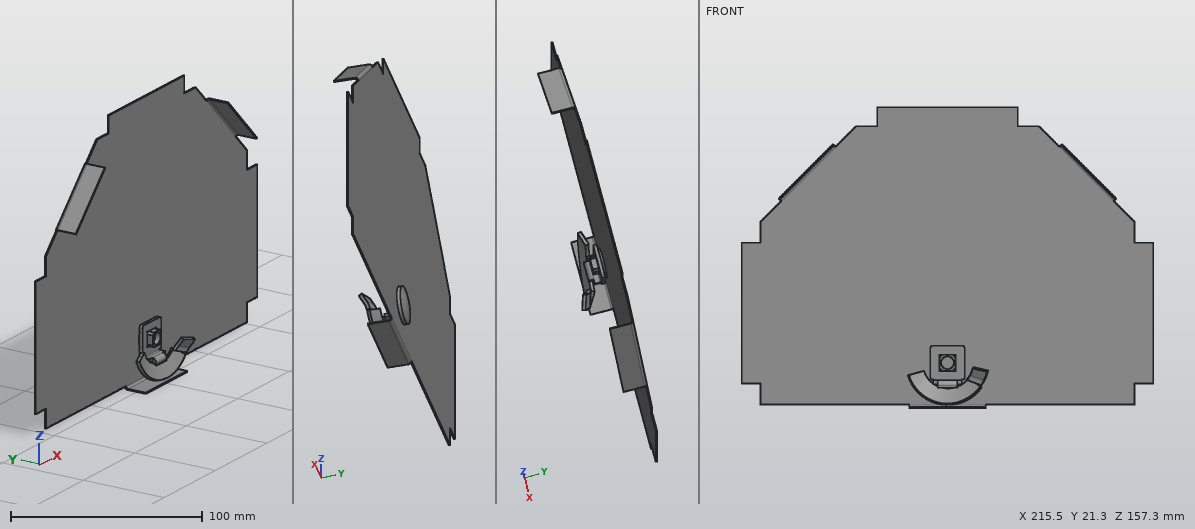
import cadquery as cq
import math

sheet = 0.75
bend_inner = 1.0
bend_outer = bend_inner + sheet
panel_width = 215.5
side = 95.7
corner_run = 50.0
tab_width = 73.7
tab_depth = (panel_width - side - 2 * corner_run) / 2
flange_length = 40.0
flange_reach = 12.3

panel_half = side / 2 + corner_run
panel_bottom = bend_outer
corner_z = panel_bottom + side
panel_top = corner_z + corner_run
lock_z = 23.7

head_radius = 10.1
head_rim = 2.0
head_dome = 1.62
neck_radius = 7.87
neck_reach = 1.3
boss_size = 8.2
boss_chamfer = 1.3
boss_end = 6.5
boss_bore = 6.7

cam_sheet = 2.0
cam_size = 18.0
cam_corner = 1.3
cam_hole = 8.6
cam_front = neck_reach + cam_sheet
lip_width = 15.0
lip_bottom = 12.5
lip_end = 6.7
lip_bend_outer = 2.5
lip_bend_inner = lip_bend_outer - cam_sheet
pad_width = 10.3
pad_end = 9.3
pad_bottom = 10.5
pad_round = pad_end - lip_end

tongue_inner = 13.4
tongue_outer = 21.3
tongue_cone = 20.6
tongue_depth = 10.8
tongue_lean_x = 6.8
tongue_lean_z = 3.0
tongue_start = -73
tongue_end = 54
tip_start = 45
tip_end = 77
tip_outer = 21.1
tip_depth = 10.3
tip_slope_x = 0.42
tip_slope_z = 0.42
tip_bend_x = 14.9
tip_bend_z = -7.5
tip_bend_rise = -0.78
tip_bend_radius = 5.8
tip_bend_angle = 30

diagonal = math.sqrt(0.5)


def tab(x, z, width, height):
    return cq.Workplane("XY").box(width, sheet, height).translate((x, sheet / 2, z))


def flange(x, z, outward_x, outward_z):
    """Bent flange centred on the panel edge at (x, z), turned toward -Y."""
    outward = cq.Vector(outward_x, 0, outward_z)
    along_edge = outward.cross(cq.Vector(0, 1, 0))
    profile = (
        cq.Workplane(cq.Plane((x, 0, z), outward, along_edge))
        .moveTo(0, sheet)
        .threePointArc(
            (bend_outer * diagonal, bend_outer * diagonal - bend_inner),
            (bend_outer, -bend_inner),
        )
        .lineTo(bend_outer, -flange_reach)
        .lineTo(bend_inner, -flange_reach)
        .lineTo(bend_inner, -bend_inner)
        .threePointArc((bend_inner * diagonal, bend_inner * diagonal - bend_inner), (0, 0))
        .close()
    )
    return profile.extrude(flange_length / 2, both=True)


def make_panel():
    outline = [
        (-panel_half, panel_bottom),
        (panel_half, panel_bottom),
        (panel_half, corner_z),
        (side / 2, panel_top),
        (-side / 2, panel_top),
        (-panel_half, corner_z),
    ]
    panel = cq.Workplane("XZ").polyline(outline).close().extrude(-sheet)
    panel = panel.union(tab(0, panel_top, tab_width, 2 * tab_depth))
    panel = panel.union(flange(0, panel_bottom, 0, -1))
    for sign in (-1, 1):
        side_middle = panel_bottom + side / 2
        panel = panel.union(tab(sign * panel_half, side_middle, 2 * tab_depth, tab_width))
        slope_x = sign * (panel_half - corner_run / 2)
        panel = panel.union(flange(slope_x, corner_z + corner_run / 2, sign, 1))
    neck_hole = cq.Workplane("XZ").center(0, lock_z).circle(neck_radius).extrude(-sheet)
    return panel.cut(neck_hole)


def make_lock():
    rim_y = sheet + head_rim
    dome_radius = (head_radius**2 + head_dome**2) / (2 * head_dome)
    dome_mid_r = head_radius / 2
    dome_mid_y = rim_y + head_dome - dome_radius + math.sqrt(dome_radius**2 - dome_mid_r**2)
    body = (
        cq.Workplane("XY")
        .moveTo(0, -neck_reach)
        .lineTo(neck_radius, -neck_reach)
        .lineTo(neck_radius, sheet)
        .lineTo(head_radius, sheet)
        .lineTo(head_radius, rim_y)
        .threePointArc((dome_mid_r, dome_mid_y), (0, rim_y + head_dome))
        .close()
        .revolve(360, (0, 0), (0, 1))
    )
    boss = cq.Workplane("XZ").rect(boss_size, boss_size).extrude(boss_end).edges("|Y").chamfer(boss_chamfer)
    bore = cq.Workplane("XZ", (0, -cam_front, 0)).circle(boss_bore / 2).extrude(boss_end)
    return body.union(boss).cut(bore).translate((0, 0, lock_z))


def cone_sector(start, end):
    """Conical sheet band about the Y axis; angles run from straight down toward +X."""
    slope = math.radians(tongue_cone)
    rise = (tongue_outer - tongue_inner) * math.tan(slope)
    back_r = cam_sheet * math.sin(slope)
    back_y = cam_sheet * math.cos(slope)
    section = [
        (tongue_outer, -tongue_depth),
        (tongue_inner, rise - tongue_depth),
        (tongue_inner + back_r, rise - tongue_depth + back_y),
        (tongue_outer + back_r, back_y - tongue_depth),
    ]
    band = cq.Workplane("XY").polyline(section).close().revolve(end - start, (0, 0), (0, 1))
    return band.rotate((0, 0, 0), (0, 1, 0), 90 - end)


def polar(radius, angle):
    """Point on a circle, with the angle running from straight down toward +X."""
    turn = math.radians(angle)
    return (radius * math.sin(turn), -radius * math.cos(turn))


def tip_point(x, z):
    """Point at (x, z) on the flat front face of the tongue tip."""
    return cq.Vector(x, -tip_depth - tip_slope_x * x - tip_slope_z * z, z)


def bent_slab(normal):
    """Slab that is flat above the bend line and curves forward below it, to meet the arm."""
    bend_point = tip_point(tip_bend_x, tip_bend_z)
    along_bend = tip_point(tip_bend_x + 2.2, tip_bend_z + tip_bend_rise) - bend_point
    sine = math.sin(math.radians(tip_bend_angle))
    cosine = math.cos(math.radians(tip_bend_angle))
    half_sine = math.sin(math.radians(tip_bend_angle / 2))
    half_cosine = math.cos(math.radians(tip_bend_angle / 2))
    back_radius = tip_bend_radius + cam_sheet
    profile = (
        cq.Workplane(cq.Plane(bend_point, normal.cross(along_bend), along_bend))
        .moveTo(-tip_outer, 0)
        .lineTo(0, 0)
        .threePointArc(
            (tip_bend_radius * half_sine, tip_bend_radius * (half_cosine - 1)),
            (tip_bend_radius * sine, tip_bend_radius * (cosine - 1)),
        )
        .lineTo(back_radius * sine, back_radius * cosine - tip_bend_radius)
        .threePointArc(
            (back_radius * half_sine, back_radius * half_cosine - tip_bend_radius),
            (0, cam_sheet),
        )
        .lineTo(-tip_outer, cam_sheet)
        .close()
    )
    return profile.extrude(tip_outer, both=True)


def make_tip():
    """Bent end of the tongue, trimmed square to its front face along a ring sector."""
    normal = cq.Vector(tip_slope_x, 1, tip_slope_z).normalized()
    front_plane = cq.Plane(tip_point(0, 0), (1, -tip_slope_x, 0), normal)
    slab = cq.Workplane(front_plane).rect(4 * tip_outer, 4 * tip_outer).extrude(cam_sheet)
    tip_middle = (tip_start + tip_end) / 2
    sector = (
        cq.Workplane("XZ")
        .moveTo(*polar(tongue_inner, tip_start))
        .lineTo(*polar(tip_outer, tip_start))
        .threePointArc(polar(tip_outer, tip_middle), polar(tip_outer, tip_end))
        .lineTo(*polar(tongue_inner, tip_end))
        .threePointArc(polar(tongue_inner, tip_middle), polar(tongue_inner, tip_start))
        .close()
        .extrude(2 * tip_outer)
    )
    front_face = slab.intersect(sector).faces(cq.DirectionMinMaxSelector(normal, False)).val()
    trim = cq.Solid.extrudeLinear(front_face.translate(normal * -tip_outer), normal * (2 * tip_outer))
    return bent_slab(normal).intersect(cq.Workplane(trim))


def make_tongue():
    pivot = (0, -tongue_depth, 0)
    arm = cone_sector(tongue_start, tongue_end)
    arm = arm.rotate(pivot, (0, -tongue_depth, 1), -tongue_lean_x)
    arm = arm.rotate(pivot, (1, -tongue_depth, 0), -tongue_lean_z)
    return arm.union(make_tip()).translate((0, 0, lock_z))


def make_lip():
    """Lip bent forward from the plate, with a narrower rounded pad that meets the tongue."""
    lip_top = lip_bottom + cam_sheet
    bend_y = -neck_reach - lip_bend_outer
    bend_z = lip_bottom + lip_bend_outer
    plate_z = lock_z - cam_size / 2 + cam_corner
    lip = (
        cq.Workplane("YZ")
        .moveTo(-neck_reach, plate_z)
        .lineTo(-neck_reach, bend_z)
        .threePointArc(
            (bend_y + lip_bend_outer * diagonal, bend_z - lip_bend_outer * diagonal),
            (bend_y, lip_bottom),
        )
        .lineTo(-lip_end, lip_bottom)
        .lineTo(-lip_end, lip_top)
        .lineTo(bend_y, lip_top)
        .threePointArc(
            (bend_y + lip_bend_inner * diagonal, bend_z - lip_bend_inner * diagonal),
            (-cam_front, bend_z),
        )
        .lineTo(-cam_front, plate_z)
        .close()
        .extrude(lip_width / 2, both=True)
    )
    pad = (
        cq.Workplane("YZ")
        .moveTo(-lip_end, lip_bottom)
        .lineTo(-lip_end, lip_top)
        .threePointArc(
            (-pad_end + pad_round * (1 - diagonal), lip_top - pad_round * (1 - diagonal)),
            (-pad_end, lip_top - pad_round),
        )
        .lineTo(-pad_end, pad_bottom)
        .close()
        .extrude(pad_width / 2, both=True)
    )
    return lip.union(pad)


def make_cam():
    plate = (
        cq.Workplane("XZ", (0, -neck_reach, lock_z))
        .rect(cam_size, cam_size)
        .extrude(cam_sheet)
        .edges("|Y")
        .fillet(cam_corner)
    )
    cam = plate.union(make_lip()).union(make_tongue())
    hole = cq.Workplane("XZ", (0, 0, lock_z)).rect(cam_hole, cam_hole).extrude(cam_front)
    return cam.cut(hole)


panel = make_panel()
lock = make_lock()
cam = make_cam()

result = cq.Compound.makeCompound([panel.val(), lock.val(), cam.val()])